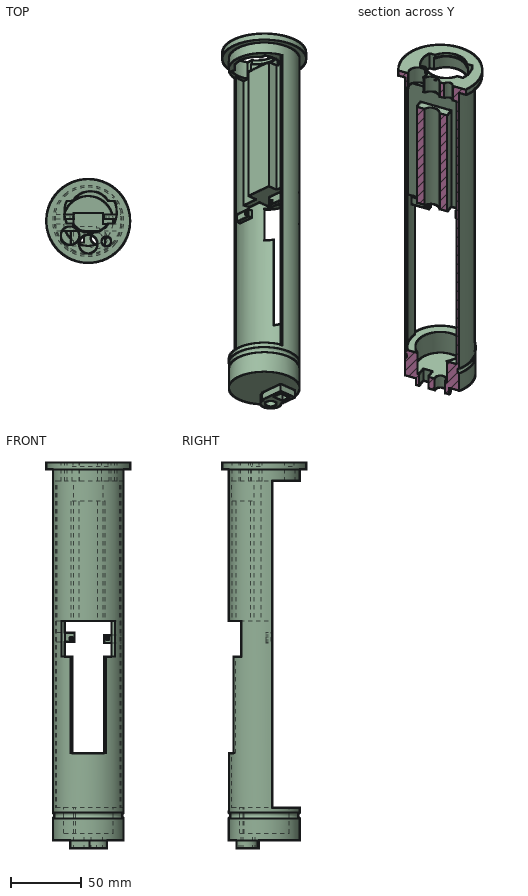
import cadquery as cq
import math

total_height = 275.7
outlet_height = 5.8
plug_top = 29.2
head_bottom = 262.5
flange_thickness = 5.0

body_diameter = 50.7
bore_diameter = 47
flange_diameter = 60.0
rear_cut_y = 5.8

groove_bottom = 21.5
groove_top = 25.6
groove_depth = 1.0

upper_window_bottom = 137.0
upper_window_top = 162.5
upper_window_y = -16.5
lower_window_bottom = 68.0
lower_window_corner_x = 12.7

socket_x = 1.7
socket_y = 6.3
socket_diameter = 29.8
socket_relief_diameter = 31.2
socket_lip = 3.0
wing_diameter = 37.5
wing_height = 16.0

head_holes = [
    (-13.0, -10.5, 13.2),
    (13.0, -14.5, 7.0),
]
cable_hole_y = -16.5
cable_hole_diameter = 13.2

web_front_y = -7.2
web_rear_y = -2.2
rear_boss_width = 21.0
rear_boss_y = 5.5
front_block_width = 24.3
front_block_top = 248.1

tab_front_y = 1.5
tab_rear_y = 4.7
tab_hole_diameter = 2.05
tab_hole_z = 150.0
left_tab = dict(inner_x=-9.7, hole_x=-12.0, bottom=147.5, top=154.0)
right_tab = dict(inner_x=11.3, hole_x=13.8, bottom=146.7, top=152.5)

recess_diameter = 35.5
plug_floor = 5.0
pipe_x = 6.0
pipe_y = -12.5
pipe_diameter = 15.0
pipe_bore = 8.3
duct_left_x = -13.0
duct_front_y = -18.0
duct_rear_y = -3.9
duct_wall = 2.62
duct_opening_right_x = -3.0

body_radius = body_diameter / 2
overlap = 2.8


def box(x_range, y_range, z_range):
    """Box given by its limits along each axis."""
    size = [limits[1] - limits[0] for limits in (x_range, y_range, z_range)]
    corner = (x_range[0], y_range[0], z_range[0])
    return cq.Workplane("XY").box(*size, centered=False).translate(corner)


def cylinder(diameter, bottom, top, x=0, y=0):
    """Upright cylinder between two heights."""
    base = cq.Workplane("XY", origin=(x, y, bottom))
    return base.circle(diameter / 2).extrude(top - bottom)


def make_tube():
    tube = cylinder(body_diameter, outlet_height, total_height)
    tube = tube.cut(cylinder(bore_diameter, plug_top, head_bottom))
    rear = box((-body_radius, body_radius), (rear_cut_y, body_radius), (plug_top, head_bottom))
    flange = cylinder(flange_diameter, total_height - flange_thickness, total_height)
    return tube.cut(rear).union(flange)


def make_groove():
    """Ring with a rounded inner side."""
    middle = (groove_bottom + groove_top) / 2
    profile = (
        cq.Workplane("XZ")
        .moveTo(body_radius, groove_bottom)
        .threePointArc((body_radius - groove_depth, middle), (body_radius, groove_top))
        .lineTo(body_radius + overlap, groove_top)
        .lineTo(body_radius + overlap, groove_bottom)
        .close()
    )
    return profile.revolve(360, (0, 0, 0), (0, 1, 0))


def make_upper_window():
    front = -body_radius - overlap
    return box(
        (-body_radius, body_radius),
        (front, upper_window_y),
        (upper_window_bottom, upper_window_top),
    )


def make_lower_window():
    """Opening whose side walls slant inward at 45 degrees and meet on the centre plane."""
    corner_y = -math.sqrt(body_radius**2 - lower_window_corner_x**2)
    front = -body_radius - overlap
    half_width = lower_window_corner_x + corner_y - front
    return (
        cq.Workplane("XY", origin=(0, 0, lower_window_bottom))
        .polyline([(-half_width, front), (half_width, front), (0, front + half_width)])
        .close()
        .extrude(upper_window_bottom - lower_window_bottom)
    )


def make_web():
    """Cross wall in the upper tube with a boss behind it and a block in front."""
    heights = (upper_window_top, head_bottom)
    wall = box((-body_radius, body_radius), (web_front_y, web_rear_y), heights)
    boss = box((-rear_boss_width / 2, rear_boss_width / 2), (web_front_y, rear_boss_y), heights)
    block = box(
        (-front_block_width / 2, front_block_width / 2),
        (-body_radius, web_front_y),
        (upper_window_top, front_block_top),
    )
    web = wall.union(boss).union(block)
    return web.intersect(cylinder(body_diameter, *heights))


def make_tab(inner_x, hole_x, bottom, top):
    """Tab from the tube wall inward, with a screw hole along Y."""
    wall_x = math.copysign(body_radius, inner_x)
    x_range = (min(inner_x, wall_x), max(inner_x, wall_x))
    tab = box(x_range, (tab_front_y, tab_rear_y), (bottom, top))
    tab = tab.intersect(cylinder(body_diameter, bottom, top))
    hole = (
        cq.Workplane("XZ", origin=(hole_x, tab_rear_y, tab_hole_z))
        .circle(tab_hole_diameter / 2)
        .extrude(tab_rear_y - tab_front_y)
    )
    return tab.cut(hole)


def make_socket():
    """Round opening with two side wings, wider below a thin lip."""
    place = dict(x=socket_x, y=socket_y)
    opening = cylinder(socket_diameter, head_bottom, total_height, **place)
    relief = cylinder(socket_relief_diameter, head_bottom, total_height - socket_lip, **place)
    wings = cylinder(wing_diameter, head_bottom, total_height, **place).intersect(
        box(
            (socket_x - wing_diameter / 2, socket_x + wing_diameter / 2),
            (socket_y - wing_height / 2, socket_y + wing_height / 2),
            (head_bottom, total_height),
        )
    )
    return opening.union(relief).union(wings)


def make_outlet():
    """Stub below the plug: a rectangular duct joined to a round pipe."""
    heights = (0, outlet_height)
    duct = box((duct_left_x, pipe_x), (duct_front_y, duct_rear_y), heights)
    return duct.union(cylinder(pipe_diameter, *heights, x=pipe_x, y=pipe_y))


def make_outlet_openings():
    heights = (0, plug_top)
    duct = box(
        (duct_left_x + duct_wall, duct_opening_right_x),
        (duct_front_y + duct_wall, duct_rear_y - duct_wall),
        heights,
    )
    return duct.union(cylinder(pipe_bore, *heights, x=pipe_x, y=pipe_y))


result = make_tube().union(make_web())
for tab_sizes in (left_tab, right_tab):
    result = result.union(make_tab(**tab_sizes))
result = result.union(make_outlet())

result = result.cut(make_groove()).cut(make_upper_window()).cut(make_lower_window())

result = result.cut(make_socket())
for hole_x, hole_y, hole_diameter in head_holes:
    result = result.cut(cylinder(hole_diameter, head_bottom, total_height, x=hole_x, y=hole_y))
result = result.cut(cylinder(cable_hole_diameter, upper_window_top, total_height, y=cable_hole_y))

result = result.cut(cylinder(recess_diameter, outlet_height + plug_floor, plug_top))
result = result.cut(make_outlet_openings())